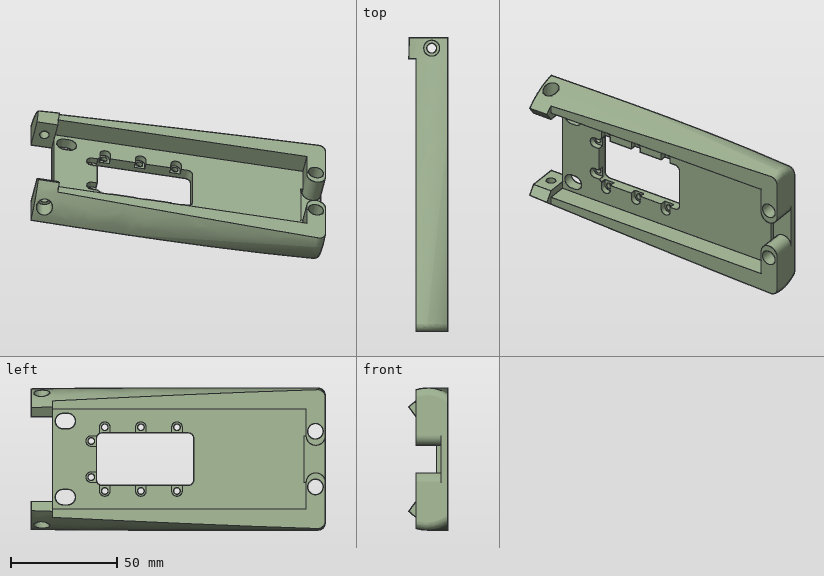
import cadquery as cq
import math

base_x = 15.0
total_length = 138.5
half_height = 33.5

front_crest_x = 5.0
front_arc_radius = 18.0
rear_crest_x = 20.0
rear_arc_radius = 33.7
side_margin_x = -5.0
crest_overrun = 12.0

end_corner_radius = 3.5

lug_length = 10.0
body_length = total_length - lug_length
lug_inner_z = 19.9
lug_bevel_slope = 1.37
lug_hole_x = 7.4
lug_hole_y = total_length - lug_length / 2
lug_hole_diameter = 4.5
lug_counterbore_diameter = 7.5
lug_counterbore_floor_z = 25.0

floor_x = 9.6
floor_thickness = base_x - floor_x
pocket_half_height = 23.5
end_wall = 9.0

notch_floor_x = 11.75
notch_length = 10.0
notch_half_height = 11.0
end_hole_diameter = 7.2
end_hole_y = 4.65
end_hole_z = 13.1
boss_radius = end_wall / 2

rear_slot_y = 122.4
rear_slot_z = 17.9
rear_slot_length = 9.4
rear_slot_width = 7.2

window_length = 45.7
window_half_height = 12.3
window_center_y = 84.85
window_corner_radius = 2.5
seat_width = 5.0
seat_reach = 2.8
seat_depth = 3.0
screw_hole_diameter = 3.0
seat_pitch = 17.0
middle_seat_y = 86.85
side_seat_z = 15.0
end_seat_y = 110.2


def box(x_min, x_max, y_min, y_max, z_min, z_max):
    """Axis-aligned block given by its limits."""
    size = (x_max - x_min, y_max - y_min, z_max - z_min)
    return cq.Workplane("XY").box(*size, centered=False).translate((x_min, y_min, z_min))


def rod(x_min, x_max, y, z, diameter):
    """Cylinder along X."""
    return cq.Workplane("YZ", origin=(x_min, y, z)).circle(diameter / 2).extrude(x_max - x_min)


def side_section(y, crest_x, radius):
    """Closed X-Z outline whose upper and lower edges are arcs, each split at its crest."""
    far_x = crest_x + crest_overrun

    def arc_z(x):
        return half_height - radius + math.sqrt(radius**2 - (x - crest_x) ** 2)

    def half_arc(outline, start_x, end_x, side):
        middle_x = (start_x + end_x) / 2
        return outline.threePointArc((middle_x, side * arc_z(middle_x)), (end_x, side * arc_z(end_x)))

    outline = cq.Workplane("XZ", origin=(0, y, 0)).moveTo(side_margin_x, -arc_z(side_margin_x))
    outline = half_arc(outline, side_margin_x, crest_x, -1)
    outline = half_arc(outline, crest_x, far_x, -1)
    outline = outline.lineTo(far_x, arc_z(far_x))
    outline = half_arc(outline, far_x, crest_x, 1)
    outline = half_arc(outline, crest_x, side_margin_x, 1)
    return outline.close().val()


def envelope():
    """Outer shape between the two curved sides, rounded at the front end."""
    front = side_section(0, front_crest_x, front_arc_radius)
    rear = side_section(total_length, rear_crest_x, rear_arc_radius)
    shape = cq.Workplane(cq.Solid.makeLoft([front, rear], True))
    return shape.faces("<Y").edges("%CIRCLE").fillet(end_corner_radius)


def lug_region(side):
    """Space of one lug: flat inner face, then a bevel out to the tip."""
    profile = [
        (base_x, lug_inner_z),
        (0, lug_inner_z),
        (side_margin_x, lug_inner_z - side_margin_x * lug_bevel_slope),
        (side_margin_x, half_height),
        (base_x, half_height),
    ]
    return (
        cq.Workplane("XZ", origin=(0, total_length, 0))
        .polyline([(x, side * z) for x, z in profile])
        .close()
        .extrude(lug_length)
    )


def lug_hole(side):
    """Counterbored screw hole across one lug, sunk from the outer side."""
    def bore(diameter, start_z):
        plane = cq.Workplane("XY", origin=(lug_hole_x, lug_hole_y, side * start_z))
        return plane.circle(diameter / 2).extrude(side * (half_height - start_z))

    return bore(lug_hole_diameter, 0).union(bore(lug_counterbore_diameter, lug_counterbore_floor_z))


def end_notch():
    """Cable notch through the end wall, leaving a half-round boss along each side."""
    notch = box(0, notch_floor_x, 0, notch_length, -notch_half_height, notch_half_height)
    for side in (-1, 1):
        boss = rod(0, notch_floor_x, boss_radius, side * notch_half_height, 2 * boss_radius)
        notch = notch.cut(boss)
    return notch


def window():
    """Rectangular opening through the floor with rounded corners."""
    return (
        cq.Workplane("YZ", origin=(floor_x, window_center_y, 0))
        .rect(window_length, 2 * window_half_height)
        .extrude(floor_thickness)
        .edges("|X")
        .fillet(window_corner_radius)
    )


def screw_seat(y, z, angle):
    """Round-ended recess running into the window along the given angle, with a through hole."""
    plane = cq.Workplane("YZ", origin=(floor_x, y, z)).transformed(rotate=(0, 0, angle))
    recess = plane.circle(seat_width / 2).extrude(seat_depth)
    tail = plane.center(seat_reach / 2, 0).rect(seat_reach, seat_width).extrude(seat_depth)
    return recess.union(tail).union(rod(floor_x, base_x, y, z, screw_hole_diameter))


def rear_slot(side):
    """Elongated opening through the floor near one lug."""
    return (
        cq.Workplane("YZ", origin=(floor_x, rear_slot_y, side * rear_slot_z))
        .slot2D(rear_slot_length, rear_slot_width)
        .extrude(floor_thickness)
    )


def pocket():
    """Main recess between the side walls."""
    return box(0, floor_x, end_wall, body_length, -pocket_half_height, pocket_half_height)


blank = box(0, base_x, 0, body_length, -half_height, half_height)
for side in (-1, 1):
    blank = blank.union(lug_region(side))
result = envelope().intersect(blank)

result = result.cut(pocket()).cut(end_notch()).cut(window())

for side in (-1, 1):
    result = result.cut(lug_hole(side))
    result = result.cut(rod(0, base_x, end_hole_y, side * end_hole_z, end_hole_diameter))
    result = result.cut(rear_slot(side))
    for step in (-1, 0, 1):
        seat_y = middle_seat_y + step * seat_pitch
        result = result.cut(screw_seat(seat_y, side * side_seat_z, -90 * side))
    result = result.cut(screw_seat(end_seat_y, side * seat_pitch / 2, 180))